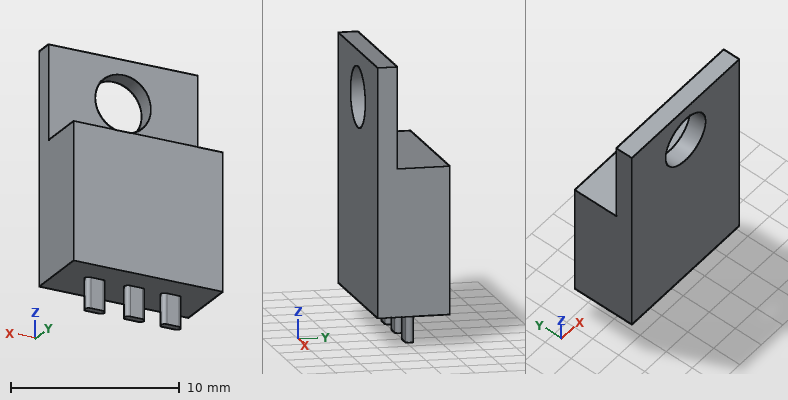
import cadquery as cq

width = 10.0
depth = 4.4
total_height = 17.2

tab_thickness = 1.2
body_height = 9.01
hole_diameter = 3.72
hole_drop = 2.84

lead_length = 2.0
lead_width = 1.3
lead_thickness = 0.5
lead_setback = 2.4
outer_lead_offset = 2.55
middle_lead_offset = -0.1

body_bottom = lead_length
body_top = body_bottom + body_height


def make_housing():
    """Stepped housing: a deep lower body with a thin tab rising at the front."""
    return (
        cq.Workplane("YZ")
        .moveTo(0, body_bottom)
        .lineTo(depth, body_bottom)
        .lineTo(depth, body_top)
        .lineTo(tab_thickness, body_top)
        .lineTo(tab_thickness, total_height)
        .lineTo(0, total_height)
        .close()
        .extrude(width / 2, both=True)
    )


def make_mounting_hole():
    """Cylinder passing through the tab along Y."""
    return (
        cq.Workplane("XZ")
        .center(0, total_height - hole_drop)
        .circle(hole_diameter / 2)
        .extrude(-tab_thickness)
    )


def make_leads():
    """Three round-edged leads below the body, the middle one slightly off centre."""
    lead_centres = [
        (x, lead_setback)
        for x in (-outer_lead_offset, middle_lead_offset, outer_lead_offset)
    ]
    return (
        cq.Workplane("XY")
        .pushPoints(lead_centres)
        .slot2D(lead_width, lead_thickness)
        .extrude(lead_length)
    )


result = make_housing().cut(make_mounting_hole()).union(make_leads())